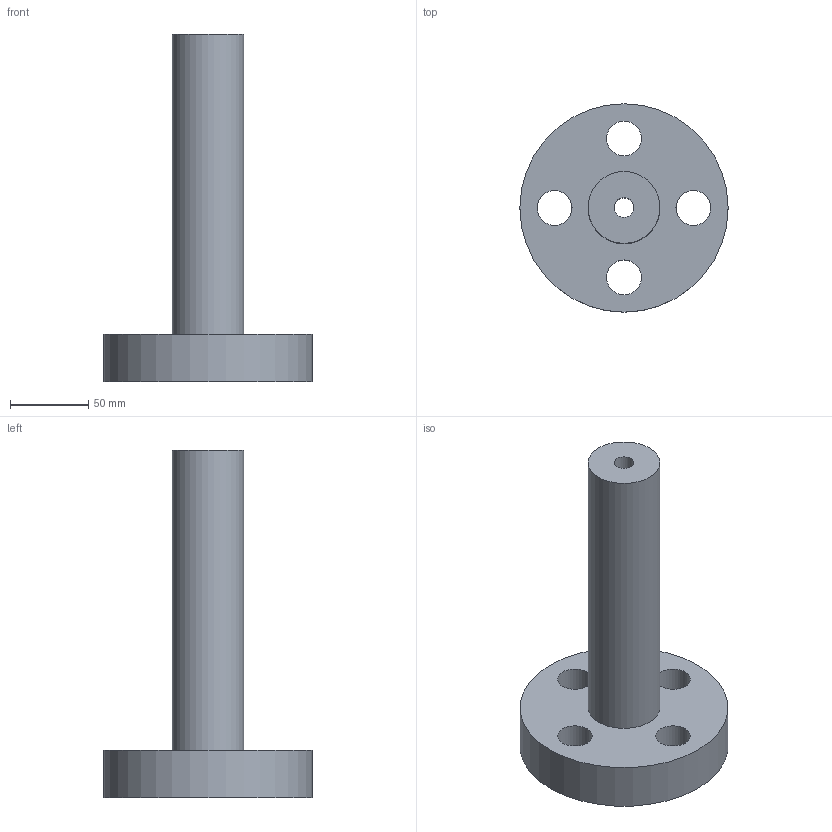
import cadquery as cq

flange_diameter = 133.35
flange_thickness = 30.2
overall_height = 222.25
stem_diameter = 46.0
bore_diameter = 12.7

bolt_hole_count = 4
bolt_hole_diameter = 22.35
bolt_circle_diameter = 88.9


def make_flange():
    """Round flange standing on the XY plane."""
    return cq.Workplane("XY").circle(flange_diameter / 2).extrude(flange_thickness)


def make_stem():
    """Round stem running the full height of the part."""
    return cq.Workplane("XY").circle(stem_diameter / 2).extrude(overall_height)


def make_bore():
    """Central bore, open at both ends."""
    return cq.Workplane("XY").circle(bore_diameter / 2).extrude(overall_height)


def make_bolt_holes():
    """Bolt holes evenly spaced around the flange, the first one on +X."""
    return (
        cq.Workplane("XY")
        .polarArray(bolt_circle_diameter / 2, 0, 360, bolt_hole_count)
        .circle(bolt_hole_diameter / 2)
        .extrude(flange_thickness)
    )


result = make_flange().union(make_stem()).cut(make_bore()).cut(make_bolt_holes())